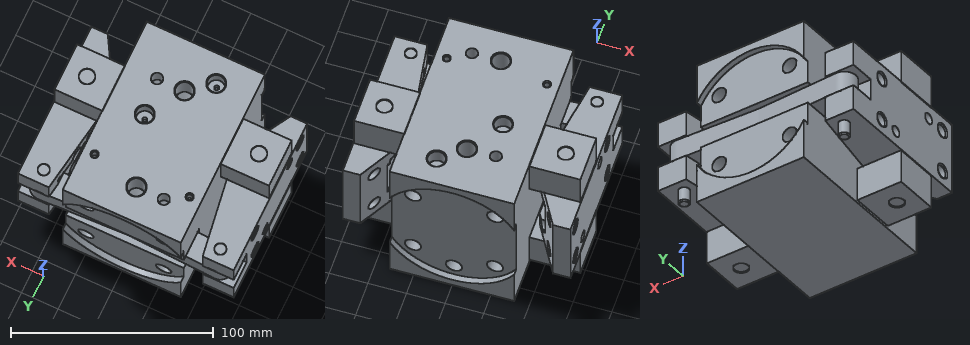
import cadquery as cq
import math


body_width = 64.5
body_height = 84.0
body_length = 97.0
face_recess_diameter = 74.9
face_recess_depth = 3.4
link_slot_depth = 21.2

through_hole_diameter = 8.4
through_hole_offset = 21.2
locating_hole_z = -30.0
locating_hole_depth = 17.7
drill_point_angle = 118

mount_hole_diameter = 9.3
mount_hole_chamfer = 0.5
mount_hole_depth = 15.3
mount_hole_rows = [24.7, 80.1]
dowel_hole_diameter = 6.0
dowel_hole_x = 15.0
dowel_hole_depth = 10.6
sensor_hole_diameter = 3.0
sensor_hole_chamfer = 0.6
sensor_hole_depth = 5.9
sensor_hole_x = 26
sensor_hole_y = 73.5
port_diameter = 9.1
port_chamfer = 0.5
port_depth = 8.3
port_x = 12.5
front_port_y = 14.5
rear_port_y = 44.1
port_drill_diameter = 2.5
port_drill_depth = 3.5
front_port_drill_shift = -0.6

ear_reach = 58.6
ear_top = 40.4
ear_front = 24.9
ear_rear = 51.0
ear_root = 1.2
pivot_x = 47.0
pivot_diameter = 8.1
pivot_recess = 0.8

jaw_reach = 59
jaw_height = 41.9
jaw_front = 7.7
jaw_rear = 92.4
jaw_tip_x = 49.9
jaw_inner_x = 34.7
jaw_rear_x = 42.0
jaw_flat_front = 34.0
jaw_flat_rear = 45.1
groove_floor_x = 40.8
groove_height = 22.8
fork_height = 12.5
fork_floor_y = 77.5
screw_hole_diameter = 6.8
screw_hole_chamfer = 0.7
screw_hole_rows = [15.8, 67.8]
jaw_hole_z = 12.5
jaw_dowel_diameter = 6.0
front_jaw_dowel_y = 27.8
rear_jaw_dowel_y = 55.9

link_width = 13.9
link_height = 11.8
link_tilt = 2.5

pin_x = 48.3
pin_y = 85.1
pin_diameter = 6.0
pin_recess = 0.6
pin_bottom = -29.1
pin_chamfer = 0.7

body_top = body_height / 2
jaw_top = jaw_height / 2


def box(x_range, y_range, z_range):
    """Box between two limits along each axis."""
    sizes = [high - low for low, high in (x_range, y_range, z_range)]
    corner = (x_range[0], y_range[0], z_range[0])
    return cq.Workplane("XY").box(*sizes, centered=False).translate(corner)


def cylinder(start, direction, diameter, length):
    return cq.Workplane(cq.Solid.makeCylinder(diameter / 2, length, cq.Vector(*start), cq.Vector(*direction)))


def drilled_hole(start, direction, diameter, depth):
    """Blind hole with a drill point, its depth measured to the end of the full diameter."""
    axis = cq.Vector(*direction)
    point_depth = diameter / 2 / math.tan(math.radians(drill_point_angle / 2))
    point_start = cq.Vector(*start) + axis * depth
    point = cq.Solid.makeCone(diameter / 2, 0, point_depth, point_start, axis)
    return cylinder(start, direction, diameter, depth).union(cq.Workplane(point))


def entry_chamfer(start, direction, diameter, chamfer):
    """Cone that breaks the edge of a hole."""
    radius = diameter / 2
    cone = cq.Solid.makeCone(radius + chamfer, radius, chamfer, cq.Vector(*start), cq.Vector(*direction))
    return cq.Workplane(cone)


def cut_long_holes(body):
    """Four through holes along the body and one blind hole from the front recess."""
    for x in (-through_hole_offset, through_hole_offset):
        for z in (-through_hole_offset, through_hole_offset):
            body = body.cut(cylinder((x, 0, z), (0, 1, 0), through_hole_diameter, body_length))
    locating_start = (0, face_recess_depth, locating_hole_z)
    return body.cut(drilled_hole(locating_start, (0, 1, 0), through_hole_diameter, locating_hole_depth))


def cut_face_recess(body, y_start):
    return body.cut(cylinder((0, y_start, 0), (0, 1, 0), face_recess_diameter, face_recess_depth))


def cut_top_hole(body, x, y, diameter, depth, chamfer):
    start = (x, y, body_top)
    body = body.cut(drilled_hole(start, (0, 0, -1), diameter, depth))
    return body.cut(entry_chamfer(start, (0, 0, -1), diameter, chamfer))


def cut_port(body, x, y, drill_shift):
    """Flat-bottomed port with a small drilled hole in its floor."""
    start = (x, y, body_top)
    drill_start = (x, y + drill_shift, body_top - port_depth)
    body = body.cut(cylinder(start, (0, 0, -1), port_diameter, port_depth))
    body = body.cut(entry_chamfer(start, (0, 0, -1), port_diameter, port_chamfer))
    return body.cut(drilled_hole(drill_start, (0, 0, -1), port_drill_diameter, port_drill_depth))


def cut_top_holes(body):
    front_row, rear_row = mount_hole_rows
    for y in mount_hole_rows:
        body = cut_top_hole(body, 0, y, mount_hole_diameter, mount_hole_depth, mount_hole_chamfer)
    for x, y in ((dowel_hole_x, front_row), (-dowel_hole_x, rear_row)):
        body = body.cut(drilled_hole((x, y, body_top), (0, 0, -1), dowel_hole_diameter, dowel_hole_depth))
    for x in (-sensor_hole_x, sensor_hole_x):
        body = cut_top_hole(
            body, x, sensor_hole_y, sensor_hole_diameter, sensor_hole_depth, sensor_hole_chamfer
        )
    body = cut_port(body, -port_x, front_port_y, front_port_drill_shift)
    return cut_port(body, port_x, rear_port_y, 0)


def add_ears(body):
    """Four ears, above and below each jaw, with a shallow recess over the pivot."""
    pivot_y = (ear_front + ear_rear) / 2
    root_x = body_width / 2 - ear_root
    ear = box((root_x, ear_reach), (ear_front, ear_rear), (jaw_top, ear_top))
    ear = ear.cut(cylinder((pivot_x, pivot_y, ear_top), (0, 0, -1), pivot_diameter, pivot_recess))
    for right_ear in (ear, ear.mirror("XY")):
        body = body.union(right_ear).union(right_ear.mirror("YZ"))
    return body


def make_housing():
    half_width = body_width / 2
    body = box((-half_width, half_width), (0, body_length), (-body_top, body_top))
    for y_start in (0, body_length - face_recess_depth):
        body = cut_face_recess(body, y_start)
    slot_range = (body_length - link_slot_depth, body_length)
    body = body.cut(box((-half_width, half_width), slot_range, (-fork_height / 2, fork_height / 2)))
    body = cut_top_holes(cut_long_holes(body))
    return add_ears(body)


def make_left_jaw():
    outline = [
        (-jaw_reach, jaw_front),
        (-jaw_tip_x, jaw_front),
        (-jaw_inner_x, jaw_flat_front),
        (-jaw_inner_x, jaw_flat_rear),
        (-jaw_rear_x, jaw_rear),
        (-jaw_reach, jaw_rear),
    ]
    jaw = cq.Workplane("XY").polyline(outline).close().extrude(jaw_top, both=True)
    groove_x = (-groove_floor_x, -jaw_inner_x)
    jaw = jaw.cut(box(groove_x, (jaw_front, jaw_rear), (-groove_height / 2, groove_height / 2)))
    fork_x = (-jaw_reach, -jaw_inner_x)
    jaw = jaw.cut(box(fork_x, (fork_floor_y, jaw_rear), (-fork_height / 2, fork_height / 2)))
    for y in screw_hole_rows:
        for z in (-jaw_hole_z, jaw_hole_z):
            start = (-jaw_reach, y, z)
            jaw = jaw.cut(cylinder(start, (1, 0, 0), screw_hole_diameter, jaw_reach))
            jaw = jaw.cut(entry_chamfer(start, (1, 0, 0), screw_hole_diameter, screw_hole_chamfer))
    for y, z in ((front_jaw_dowel_y, jaw_hole_z), (rear_jaw_dowel_y, -jaw_hole_z)):
        jaw = jaw.cut(cylinder((-jaw_reach, y, z), (1, 0, 0), jaw_dowel_diameter, jaw_reach))
    return jaw.cut(cylinder((-pin_x, pin_y, -jaw_top), (0, 0, 1), pin_diameter, jaw_height))


def make_link():
    """Bar of two round-ended arms that meet at X = 0, tilted towards the front there, bored for the pins."""
    eye_distance = pin_x / math.cos(math.radians(link_tilt))
    arm = (
        cq.Workplane("XY")
        .center(eye_distance / 2, 0)
        .slot2D(eye_distance + link_width, link_width)
        .extrude(link_height / 2, both=True)
        .rotate((0, 0, 0), (0, 0, 1), -link_tilt)
        .translate((-pin_x, pin_y, 0))
    )
    arm = arm.cut(cylinder((-pin_x, pin_y, -link_height / 2), (0, 0, 1), pin_diameter, link_height))
    return arm.union(arm.mirror("YZ"))


def make_pin(x):
    """Cross pin, sunk a little below the jaw top and standing out below the jaw."""
    pin_length = jaw_top - pin_recess - pin_bottom
    pin = cylinder((x, pin_y, pin_bottom), (0, 0, 1), pin_diameter, pin_length)
    return pin.faces("<Z").chamfer(pin_chamfer)


housing = make_housing()

left_jaw = make_left_jaw()
jaws = [left_jaw.rotate((0, 0, 0), (0, 1, 0), angle) for angle in (0, 180)]

link = make_link()
pins = [make_pin(x) for x in (-pin_x, pin_x)]

result = cq.Compound.makeCompound([body.val() for body in (housing, *jaws, link, *pins)])